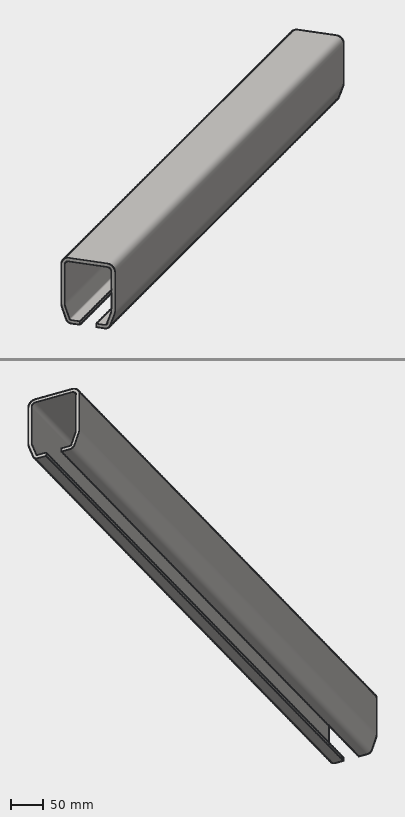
import cadquery as cq
import math

length = 1000.0
width = 90.0
height = 110.0
thickness = 6.0
slot_width = 27.0

taper_height = 29.0
taper_angle = 20.0

top_radius = 13.0
side_bend_radius = 20.0
lip_bend_radius = 9.0

half_width = width / 2
floor_half_width = half_width - taper_height * math.tan(math.radians(taper_angle))


def rounded_envelope():
    """Solid bar with the outer outline of the rail, from Z = 0 to the top."""
    bar = (
        cq.Workplane("XZ")
        .polyline(
            [
                (-half_width, height),
                (-half_width, taper_height),
                (-floor_half_width, 0),
                (floor_half_width, 0),
                (half_width, taper_height),
                (half_width, height),
            ]
        )
        .close()
        .extrude(length / 2, both=True)
    )
    bar = bar.edges("|Y").edges(">Z").fillet(top_radius)
    bar = bar.edges("|Y").edges("<Z").fillet(lip_bend_radius)
    side_bends = cq.selectors.BoxSelector(
        (-width, -length, taper_height - thickness / 2),
        (width, length, taper_height + thickness / 2),
    )
    return bar.edges("|Y").edges(side_bends).fillet(side_bend_radius)


def hollow(bar):
    """Remove the end faces and leave a wall of constant thickness."""
    return bar.faces("<Y or >Y").shell(-thickness)


def lower_slot():
    """Full-length opening between the two inward lips."""
    return cq.Workplane("XY").box(slot_width, 2 * length, 2 * thickness)


result = hollow(rounded_envelope()).cut(lower_slot())